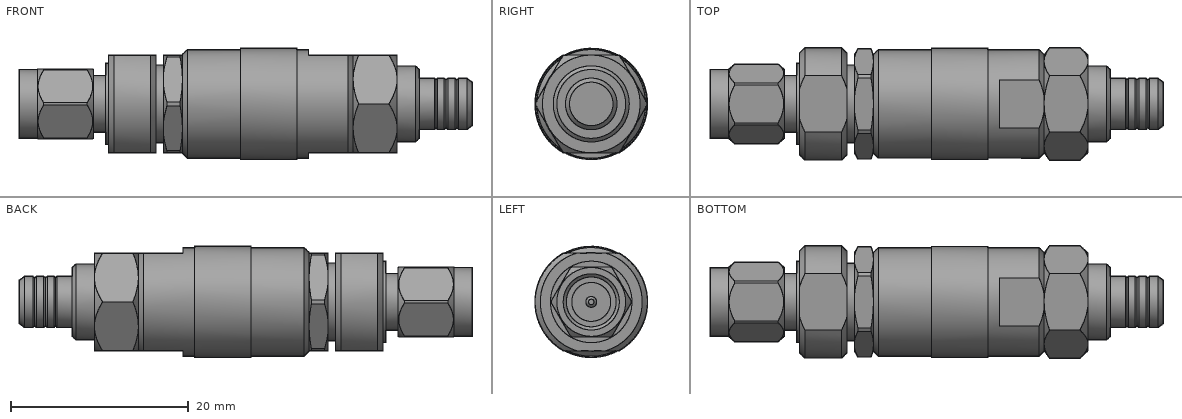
import cadquery as cq
import math


PLUG_COLLAR_END = 2.05
PLUG_HEX_END = 8.35
PLUG_NECK_END = 9.75
WASHER_END = 10.05
FLATTED_NUT_END = 15.4
NUT_NECK_END = 16.2
THIN_NUT_END = 18.35
BAND_START = 24.9
BAND_END = 31.25
BODY_END = 37.6
REAR_HEX_END = 42.55
FLANGE_END = 45.05
TOTAL_LENGTH = 51.0

PLUG_COLLAR_RADIUS = 3.9
PLUG_NECK_RADIUS = 3.2
WASHER_RADIUS = 4.6
NUT_NECK_RADIUS = 4.4
BODY_RADIUS = 6.1
BAND_RADIUS = 6.25
FLANGE_RADIUS = 4.3
TAIL_RADIUS = 2.9

PLUG_HEX_ACROSS = 7.9
MAIN_CORNER_DIAMETER = 12.7
MAIN_CORNER_RADIUS = MAIN_CORNER_DIAMETER / 2
MAIN_ACROSS = MAIN_CORNER_RADIUS * math.sqrt(3)
PLUG_HEX_TURNED_RADIUS = 4.5
THIN_NUT_TURNED_RADIUS = 6.2
BODY_FLAT_START = 32.6
SLAB_WIDTH = 4 * BAND_RADIUS

PLUG_HEX_CHAMFER = 0.7
FLATTED_NUT_CHAMFER = 0.6
THIN_NUT_FRONT_CHAMFER = 0.4
THIN_NUT_REAR_CHAMFER = 0.25
BODY_CHAMFER = 0.55
REAR_HEX_FRONT_CHAMFER = 0.6
REAR_HEX_REAR_CHAMFER = 0.9
FLANGE_CHAMFER = 0.4
TAIL_CHAMFER = 0.6
TAIL_CHAMFER_DROP = 0.45
THIN_NUT_DROP = 0.7
MAIN_HEX_DROP = MAIN_CORNER_RADIUS - MAIN_ACROSS / 2

TAIL_GROOVES = ((47.05, 0.3), (48.25, 0.4), (49.45, 0.4))
TAIL_GROOVE_DEPTH = 0.2

THREAD_MAJOR_RADIUS = 3.15
THREAD_MINOR_RADIUS = 2.8
THREAD_PITCH = 0.55
THREAD_GROOVES = 3
ENTRY_DEPTH = 0.7
SOCKET_DEPTH = 2.8
RECESS_RADIUS = 2.2
RECESS_DEPTH = 0.2
PIN_RADIUS = 0.6
PIN_TIP_RADIUS = 0.3
PIN_TIP_X = 0.95
PIN_TAPER = 0.35


def revolved(points):
    """Revolve an outline of (x, radius) points about the X axis."""
    return cq.Workplane("XY").polyline(points).close().revolve(360, (0, 0, 0), (1, 0, 0))


def turned(start, end, radius, front=(0, 0), rear=(0, 0)):
    """Bar section; front and rear chamfers are (length, drop in radius)."""
    points = [(start, 0), (start, radius - front[1])]
    if front[0]:
        points.append((start + front[0], radius))
    if rear[0]:
        points.append((end - rear[0], radius))
    points += [(end, radius - rear[1]), (end, 0)]
    return revolved(points)


def hexagon(start, end, across):
    """Hexagonal bar with flats facing up and down and corners along Y."""
    corner_diameter = 2 * across / math.sqrt(3)
    return cq.Workplane("YZ").workplane(offset=start).polygon(6, corner_diameter).extrude(end - start)


def two_flats(start, end, across):
    """Slab, wider than any section, that leaves one flat above and one below."""
    slab = cq.Workplane("XY").box(end - start, SLAB_WIDTH, across, centered=(False, True, True))
    return slab.translate((start, 0, 0))


def v_groove(start, end, surface_radius, bottom_radius):
    """Triangular ring running from a cylindrical surface to its bottom radius."""
    middle = (start + end) / 2
    return revolved([(start, surface_radius), (middle, bottom_radius), (end, surface_radius)])


def plug_hex():
    chamfer = (PLUG_HEX_CHAMFER, PLUG_HEX_TURNED_RADIUS - PLUG_COLLAR_RADIUS)
    blank = turned(PLUG_COLLAR_END, PLUG_HEX_END, PLUG_HEX_TURNED_RADIUS, chamfer, chamfer)
    return blank.intersect(hexagon(PLUG_COLLAR_END, PLUG_HEX_END, PLUG_HEX_ACROSS))


def flatted_nut():
    chamfer = (FLATTED_NUT_CHAMFER, FLATTED_NUT_CHAMFER)
    blank = turned(WASHER_END, FLATTED_NUT_END, MAIN_CORNER_RADIUS, chamfer, chamfer)
    return blank.intersect(two_flats(WASHER_END, FLATTED_NUT_END, MAIN_ACROSS))


def thin_nut():
    blank = turned(
        NUT_NECK_END, THIN_NUT_END, THIN_NUT_TURNED_RADIUS,
        (THIN_NUT_FRONT_CHAMFER, THIN_NUT_DROP), (THIN_NUT_REAR_CHAMFER, THIN_NUT_DROP),
    )
    return blank.intersect(hexagon(NUT_NECK_END, THIN_NUT_END, MAIN_ACROSS))


def body():
    chamfer = (BODY_CHAMFER, BODY_CHAMFER)
    front = turned(THIN_NUT_END, BAND_START, BODY_RADIUS, front=chamfer)
    band = turned(BAND_START, BAND_END, BAND_RADIUS)
    rear = turned(BAND_END, BODY_END, BODY_RADIUS, rear=chamfer)
    flatted = rear.intersect(two_flats(BODY_FLAT_START, BODY_END, MAIN_ACROSS))
    collar = turned(BAND_END, BODY_FLAT_START, BODY_RADIUS)
    return front.union(band).union(collar).union(flatted)


def rear_hex():
    blank = turned(
        BODY_END, REAR_HEX_END, MAIN_CORNER_RADIUS,
        (REAR_HEX_FRONT_CHAMFER, MAIN_HEX_DROP), (REAR_HEX_REAR_CHAMFER, MAIN_HEX_DROP),
    )
    return blank.intersect(hexagon(BODY_END, REAR_HEX_END, MAIN_ACROSS))


def tail():
    flange = turned(REAR_HEX_END, FLANGE_END, FLANGE_RADIUS, rear=(FLANGE_CHAMFER, FLANGE_CHAMFER))
    stem = turned(FLANGE_END, TOTAL_LENGTH, TAIL_RADIUS, rear=(TAIL_CHAMFER, TAIL_CHAMFER_DROP))
    for groove_end, width in TAIL_GROOVES:
        bottom_radius = TAIL_RADIUS - TAIL_GROOVE_DEPTH
        stem = stem.cut(v_groove(groove_end - width, groove_end, TAIL_RADIUS, bottom_radius))
    return flange.union(stem)


def socket():
    """Space inside the plug, including the thread grooves."""
    cone_end = ENTRY_DEPTH + THREAD_MAJOR_RADIUS - THREAD_MINOR_RADIUS
    space = revolved([
        (0, 0),
        (0, THREAD_MAJOR_RADIUS),
        (ENTRY_DEPTH, THREAD_MAJOR_RADIUS),
        (cone_end, THREAD_MINOR_RADIUS),
        (SOCKET_DEPTH, THREAD_MINOR_RADIUS),
        (SOCKET_DEPTH, RECESS_RADIUS),
        (SOCKET_DEPTH + RECESS_DEPTH, RECESS_RADIUS),
        (SOCKET_DEPTH + RECESS_DEPTH, 0),
    ])
    for index in range(THREAD_GROOVES):
        start = cone_end + index * THREAD_PITCH
        space = space.union(
            v_groove(start, start + THREAD_PITCH, THREAD_MINOR_RADIUS, THREAD_MAJOR_RADIUS)
        )
    return space


def pin():
    return turned(
        PIN_TIP_X, SOCKET_DEPTH + RECESS_DEPTH, PIN_RADIUS,
        front=(PIN_TAPER, PIN_RADIUS - PIN_TIP_RADIUS),
    )


sections = [
    turned(0, PLUG_COLLAR_END, PLUG_COLLAR_RADIUS),
    plug_hex(),
    turned(PLUG_HEX_END, PLUG_NECK_END, PLUG_NECK_RADIUS),
    turned(PLUG_NECK_END, WASHER_END, WASHER_RADIUS),
    flatted_nut(),
    turned(FLATTED_NUT_END, NUT_NECK_END, NUT_NECK_RADIUS),
    thin_nut(),
    body(),
    rear_hex(),
    tail(),
]

adapter = sections[0]
for section in sections[1:]:
    adapter = adapter.union(section)

result = adapter.cut(socket()).union(pin())